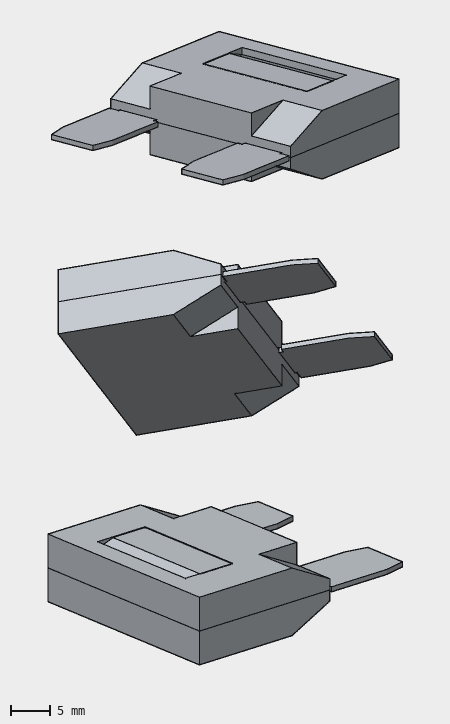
import cadquery as cq


housing_width = 29.39
housing_length = 22.0
housing_height = 9.25
half_height = housing_height / 2

corner_width = 6.4
corner_length = 6.4
corner_drop = 3.1

blade_thickness = 0.7
blade_width = 8.15
blade_reach = 12.88
tip_length = 3.25
tip_inset = 0.7
outer_notch_width = 1.5
outer_notch_length = 0.3
inner_notch_width = 0.7
inner_notch_length = 0.55
blade_depth = 8.0

label_width = 17.0
label_length = 8.0
label_back_margin = 3.0
label_ramp_length = 2.6
label_pocket_depth = 0.95
label_sink = 0.1

label_back_y = housing_length - label_back_margin
label_front_y = label_back_y - label_length
label_floor_z = half_height - label_pocket_depth


def extrude_across(points, width, center_x=0):
    """Extrude a (Y, Z) outline along X, centred on center_x."""
    return (
        cq.Workplane("YZ")
        .workplane(offset=center_x - width / 2)
        .polyline(points)
        .close()
        .extrude(width)
    )


def make_corner_cut(side):
    """Wedge removed from a front corner of the upper half; side is -1 or +1 along X."""
    slope = [(0, half_height - corner_drop), (corner_length, half_height), (0, half_height)]
    return extrude_across(slope, corner_width, side * (housing_width - corner_width) / 2)


def make_blade(side):
    """Flat blade with a notched neck and a tapered tip; side is -1 or +1 along X."""
    outer_x = housing_width / 2
    inner_x = outer_x - blade_width
    neck_outer_x = outer_x - outer_notch_width
    neck_inner_x = inner_x + inner_notch_width
    taper_y = tip_length - blade_reach
    outline = [
        (neck_outer_x, blade_depth),
        (neck_outer_x, -outer_notch_length),
        (outer_x, -outer_notch_length),
        (outer_x, taper_y),
        (outer_x - tip_inset, -blade_reach),
        (inner_x + tip_inset, -blade_reach),
        (inner_x, taper_y),
        (inner_x, -inner_notch_length),
        (neck_inner_x, -inner_notch_length),
        (neck_inner_x, blade_depth),
    ]
    return (
        cq.Workplane("XY")
        .workplane(offset=-blade_thickness / 2)
        .polyline([(side * x, y) for x, y in outline])
        .close()
        .extrude(blade_thickness)
    )


def make_upper_half(blades):
    """Upper housing half without its label pocket, recessed for the blade necks."""
    half = (
        cq.Workplane("XY")
        .rect(housing_width, housing_length)
        .extrude(half_height)
        .translate((0, housing_length / 2, 0))
    )
    for side in (-1, 1):
        half = half.cut(make_corner_cut(side))
    for blade in blades:
        half = half.cut(blade)
    return half


def make_label_pocket():
    """Rectangular pocket that holds the label insert."""
    return (
        cq.Workplane("XY")
        .workplane(offset=label_floor_z)
        .center(0, (label_front_y + label_back_y) / 2)
        .rect(label_width, label_length)
        .extrude(label_pocket_depth)
    )


def make_label():
    """Label insert with a flat face that ramps down to the pocket floor at the back."""
    face_z = half_height - label_sink
    profile = [
        (label_front_y, label_floor_z),
        (label_front_y, face_z),
        (label_back_y - label_ramp_length, face_z),
        (label_back_y, label_floor_z),
    ]
    return extrude_across(profile, label_width)


blades = [make_blade(side) for side in (-1, 1)]
plain_half = make_upper_half(blades)
lower_housing = plain_half.mirror("XY")
upper_housing = plain_half.cut(make_label_pocket())
label = make_label()

result = cq.Compound.makeCompound(
    [
        upper_housing.val(),
        lower_housing.val(),
        *[blade.val() for blade in blades],
        label.val(),
    ]
)